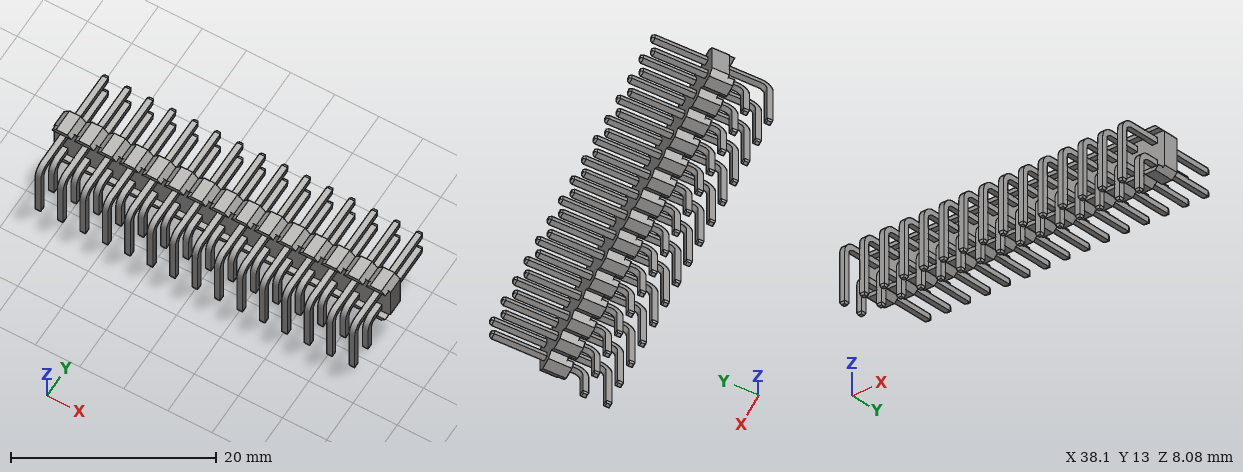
import cadquery as cq
import math


length = 38.1
columns = 15
rows = 2
pitch = length / columns
housing_height = rows * pitch
housing_depth = pitch
corner_chamfer = pitch / 4
lip_depth = 0.7
lip_thickness = 0.45
front_face_y = -housing_depth

pin_width = 0.65
tip_length = 0.25
tip_inset = 0.1
back_reach = 6.0
total_depth = 13.03
total_height = 8.08
bend_inner_radius = pin_width
bend_radius = bend_inner_radius + pin_width / 2

pin_back_y = back_reach
pin_foot_z = housing_height / 2 - total_height
outer_leg_y = back_reach - total_depth + pin_width / 2


def make_cell():
    """One housing cell with bevelled corners, its front recessed between the two lips."""
    block = (
        cq.Workplane("XY")
        .box(pitch, housing_depth, housing_height)
        .edges("|Y")
        .chamfer(corner_chamfer)
        .translate((0, -housing_depth / 2, 0))
    )
    recess_height = housing_height - 2 * lip_thickness
    recess = cq.Workplane("XY").box(pitch, lip_depth, recess_height)
    return block.cut(recess.translate((0, front_face_y + lip_depth / 2, 0)))


def make_tip(plane):
    """Tapered pin end that narrows along the normal of the plane."""
    end_width = pin_width - 2 * tip_inset
    return (
        cq.Workplane(plane)
        .rect(pin_width, pin_width)
        .workplane(offset=tip_length)
        .rect(end_width, end_width)
        .loft(ruled=True)
    )


def make_pin(row_z, leg_y):
    """Square pin bent down in front of the housing, with both ends tapered."""
    back_shoulder = cq.Vector(0, pin_back_y - tip_length, row_z)
    foot_shoulder = cq.Vector(0, leg_y, pin_foot_z + tip_length)
    half = pin_width / 2
    outer_radius = bend_radius + half
    bend_y = leg_y + bend_radius
    bend_z = row_z - bend_radius
    diagonal = math.sqrt(0.5)
    body = (
        cq.Workplane("YZ")
        .moveTo(back_shoulder.y, row_z + half)
        .lineTo(bend_y, row_z + half)
        .threePointArc(
            (bend_y - outer_radius * diagonal, bend_z + outer_radius * diagonal),
            (leg_y - half, bend_z),
        )
        .lineTo(leg_y - half, foot_shoulder.z)
        .lineTo(leg_y + half, foot_shoulder.z)
        .lineTo(leg_y + half, bend_z)
        .threePointArc(
            (bend_y - bend_inner_radius * diagonal, bend_z + bend_inner_radius * diagonal),
            (bend_y, row_z - half),
        )
        .lineTo(back_shoulder.y, row_z - half)
        .close()
        .extrude(half, both=True)
    )
    back_tip = make_tip(cq.Plane(back_shoulder, (1, 0, 0), (0, 1, 0)))
    foot_tip = make_tip(cq.Plane(foot_shoulder, (1, 0, 0), (0, 0, -1)))
    return body.union(back_tip).union(foot_tip)


def make_column():
    """Housing cell with its stack of pins, centred on X = 0."""
    column = make_cell()
    for row in range(rows):
        row_z = ((rows - 1) / 2 - row) * pitch
        column = column.union(make_pin(row_z, outer_leg_y + row * pitch))
    return column


column = make_column()
result = cq.Workplane("XY")
for index in range(columns):
    x = (index - (columns - 1) / 2) * pitch
    result = result.union(column.translate((x, 0, 0)))